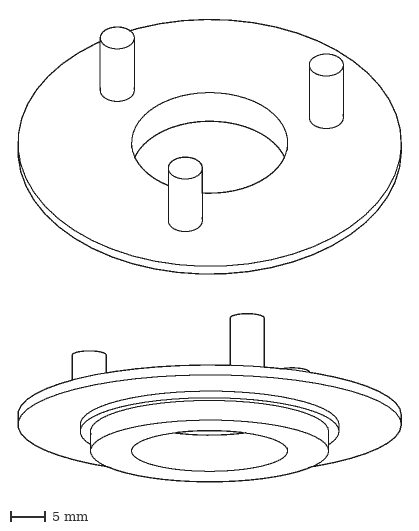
import cadquery as cq

flange_diameter = 56.0
flange_thickness = 1.5

shoulder_diameter = 37.8
shoulder_height = 1.0
spigot_diameter = 34.8
spigot_height = 2.95

bore_diameter = 22.8

pin_diameter = 5.0
pin_height = 10.0
pin_count = 3
pin_circle_radius = 18.0
first_pin_angle = 90.0

flange_top = flange_thickness
shoulder_bottom = -shoulder_height
spigot_bottom = shoulder_bottom - spigot_height


def disc(diameter, bottom, height):
    """Solid disc centred on the Z axis."""
    return cq.Workplane("XY").workplane(offset=bottom).circle(diameter / 2).extrude(height)


def pins():
    """Ring of equally spaced pins rising from the flange."""
    return (
        cq.Workplane("XY")
        .workplane(offset=flange_top)
        .polarArray(pin_circle_radius, first_pin_angle, 360, pin_count)
        .circle(pin_diameter / 2)
        .extrude(pin_height)
    )


flange = disc(flange_diameter, 0, flange_thickness)
shoulder = disc(shoulder_diameter, shoulder_bottom, shoulder_height)
spigot = disc(spigot_diameter, spigot_bottom, spigot_height)
bore = disc(bore_diameter, spigot_bottom, flange_top - spigot_bottom)

result = flange.union(shoulder).union(spigot).cut(bore).union(pins())